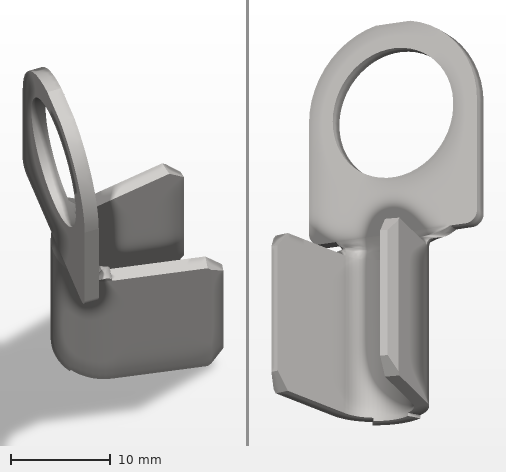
import cadquery as cq
import math

sheet = 1.5
plate_width = 18.8
plate_top = 41.55
plate_bottom = 19.48
plate_corner_radius = 1.25
top_flat_width = 3.85
hole_diameter = 13.5
hole_center_z = 32.15

outer_radius = 5.3
barrel_top = 16.85
barrel_bottom = 0.35
arm_flare = 10.0
arm_tip_y = 15.85
tip_chamfer_length = 1.33
tip_chamfer_depth = 0.7
tip_corner_cut = 1.7
tab_width = 5.4

neck_stations = [
    (17.53, 72.0, 6.05, 0.1),
    (18.1, 42.0, 5.52, 0.2),
    (18.77, 11.0, 5.8, 0.2),
]

ring_radius = plate_width / 2
ring_center_z = plate_top - math.sqrt(ring_radius**2 - (top_flat_width / 2) ** 2)
bend_angle = 90 - arm_flare
middle_radius = outer_radius - sheet / 2
strip_half_length = middle_radius * math.radians(bend_angle)


def make_plate():
    """Flat ring plate with a round head, a clipped top and rounded lower corners."""
    height = ring_center_z - plate_bottom
    foot = (
        cq.Workplane("XY")
        .box(plate_width, sheet, height, centered=(True, False, False))
        .translate((0, 0, plate_bottom))
        .edges("|Y and <Z")
        .fillet(plate_corner_radius)
    )
    half_flat = top_flat_width / 2
    shoulder = ring_radius * math.sqrt(0.5)
    head = (
        cq.Workplane("XZ")
        .moveTo(-ring_radius, ring_center_z)
        .threePointArc((-shoulder, ring_center_z + shoulder), (-half_flat, plate_top))
        .lineTo(half_flat, plate_top)
        .threePointArc((shoulder, ring_center_z + shoulder), (ring_radius, ring_center_z))
        .close()
        .extrude(-sheet)
    )
    hole = (
        cq.Workplane("XZ")
        .center(0, hole_center_z)
        .circle(hole_diameter / 2)
        .extrude(-sheet)
    )
    return foot.union(head).cut(hole)


def bent_strip(height, half_angle, middle, setback=0.0):
    """Closed outline of the strip bent to an arc, open towards +Y."""
    angle = math.radians(half_angle)
    outer = middle + sheet / 2
    inner = middle - sheet / 2
    center_y = setback + outer

    def on_arc(radius, turn):
        return (radius * math.sin(turn), center_y - radius * math.cos(turn))

    return (
        cq.Workplane("XY", origin=(0, 0, height))
        .moveTo(*on_arc(outer, -angle))
        .threePointArc(on_arc(outer, 0), on_arc(outer, angle))
        .lineTo(*on_arc(inner, angle))
        .threePointArc(on_arc(inner, 0), on_arc(inner, -angle))
        .close()
    )


def make_neck():
    """Strip unrolling from the barrel arc to the flat plate."""
    outlines = [bent_strip(barrel_top, bend_angle, middle_radius)]
    for height, half_angle, half_length, setback in neck_stations:
        middle = half_length / math.radians(half_angle)
        outlines.append(bent_strip(height, half_angle, middle, setback))
    outlines.append(
        cq.Workplane("XY", origin=(0, 0, plate_bottom))
        .moveTo(-strip_half_length, 0)
        .lineTo(strip_half_length, 0)
        .lineTo(strip_half_length, sheet)
        .lineTo(-strip_half_length, sheet)
        .close()
    )
    wires = [outline.val() for outline in outlines]
    return cq.Workplane(cq.Solid.makeLoft(wires, False))


def make_arm():
    """Flared arm on the +X side, with a thinned tip and clipped tip corners."""
    flare = math.radians(arm_flare)
    inner_radius = outer_radius - sheet
    arm_start_y = outer_radius - inner_radius * math.sin(flare)
    length = (arm_tip_y - arm_start_y) / math.cos(flare)
    arm = (
        cq.Workplane("XY", origin=(0, 0, barrel_bottom))
        .moveTo(inner_radius, 0)
        .lineTo(inner_radius, length)
        .lineTo(outer_radius - tip_chamfer_depth, length)
        .lineTo(outer_radius, length - tip_chamfer_length)
        .lineTo(outer_radius, 0)
        .close()
        .extrude(barrel_top - barrel_bottom)
        .faces(">Y")
        .edges("|X")
        .chamfer(tip_corner_cut)
    )
    return arm.rotate((0, 0, 0), (0, 0, 1), -arm_flare).translate((0, outer_radius, 0))


def make_barrel():
    """Rolled barrel with two flared arms and a short tab on its lower end."""
    roll = bent_strip(barrel_bottom, bend_angle, middle_radius).extrude(barrel_top - barrel_bottom)
    tab_angle = math.degrees(math.asin(tab_width / 2 / outer_radius))
    tab = bent_strip(0, tab_angle, middle_radius).extrude(barrel_bottom)
    arm = make_arm()
    return roll.union(tab).union(arm).union(arm.mirror("YZ"))


result = make_plate().union(make_neck()).union(make_barrel())